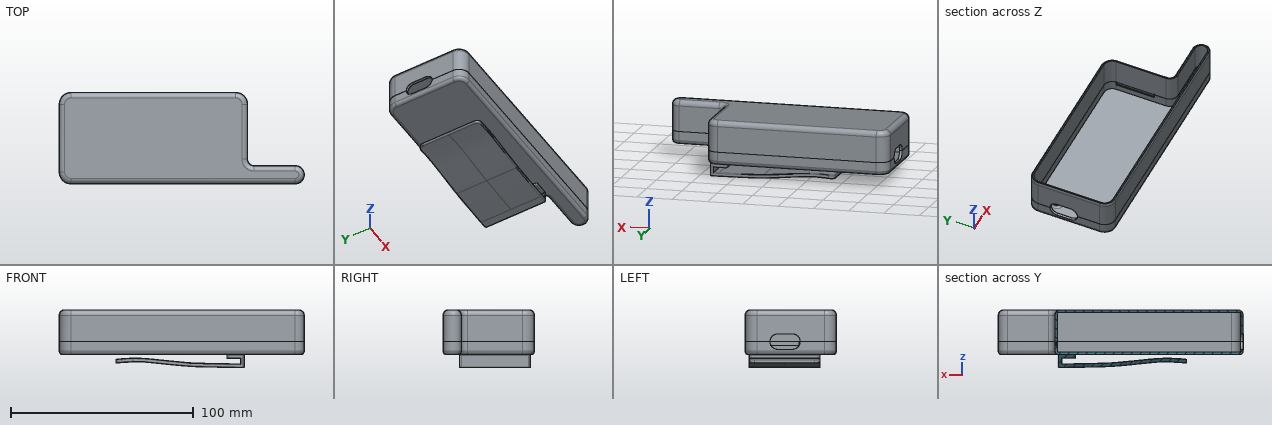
import cadquery as cq

CASE_LENGTH = 134.0
CASE_WIDTH = 50.0
BODY_LENGTH = 103.0
TAIL_WIDTH = 10.0
WALL = 1.5
INNER_RADIUS = 5.0
CORNER_RADIUS = INNER_RADIUS + WALL
NOTCH_RADIUS = INNER_RADIUS - WALL
TAIL_END_RADIUS = TAIL_WIDTH / 2

TOTAL_HEIGHT = 31.51
CLIP_DROP = 7.0
CASE_HEIGHT = TOTAL_HEIGHT - CLIP_DROP
BASE_HEIGHT = 7.15
FLOOR_THICKNESS = WALL
ROOF_THICKNESS = WALL
LID_EDGE_RADIUS = 3.0
BASE_EDGE_RADIUS = 2.0

PORT_WIDTH = 16.5
PORT_HEIGHT = 8.4
PORT_Y = 28.1

SEAT_DIAMETER = 5.0
SEAT_HEIGHT = 1.4
SEAT_FOOT_RADIUS = 1.2
SEAT_X = 9.0
SEAT_Y = 36.5

RECESS_BOTTOM = 5.0
RECESS_DEPTH = WALL / 2
RECESS_START_Y = 20.6
RECESS_END_Y = CASE_WIDTH - CORNER_RADIUS

CLIP_WIDTH = 38.8
CLIP_CENTER_Y = 28.4
CLIP_THICKNESS = 2.0
CLIP_BACK_X = 101.2
CLIP_FOOT_LENGTH = 9.5
CLIP_FLAT_LENGTH = 5.0
CLIP_CORNER_RADIUS = 1.0
CLIP_TIP_RADIUS = 3.0
CLIP_EDGE_RADIUS = 0.3
CLIP_END_SLOPE = 0.03
CLIP_JOINT_SLOPE = 0.075
CLIP_TIP_SLOPE = 0.13
CLIP_JOINT = (70.8, -4.36)
CLIP_MIDSPAN = (60.7, -3.46)
CLIP_CREST = (42.2, -1.87)
CLIP_TIP = (31.0, -2.55)


def case_prism(inset, bottom, top):
    """Case outline moved inwards by inset, extruded from bottom to top."""
    far = CASE_WIDTH - inset
    middle = (bottom + top) / 2
    tail_back = TAIL_WIDTH - inset
    body_end = BODY_LENGTH - inset
    tail_end_center = CASE_LENGTH - TAIL_END_RADIUS
    outline = (
        cq.Workplane("XY", origin=(0, 0, bottom))
        .moveTo(inset, inset)
        .lineTo(tail_end_center, inset)
        .threePointArc((CASE_LENGTH - inset, TAIL_WIDTH / 2), (tail_end_center, tail_back))
        .lineTo(body_end, tail_back)
        .lineTo(body_end, far)
        .lineTo(inset, far)
        .close()
    )
    prism = outline.extrude(top - bottom)
    convex_corners = [(inset, inset), (inset, far), (body_end, far)]
    for x, y in convex_corners:
        corner = cq.selectors.NearestToPointSelector((x, y, middle))
        prism = prism.edges(corner).fillet(CORNER_RADIUS - inset)
    notch = cq.selectors.NearestToPointSelector((body_end, tail_back, middle))
    return prism.edges(notch).fillet(NOTCH_RADIUS + inset)


def port_cutter():
    """Rounded slot through the -X wall."""
    return (
        cq.Workplane("YZ", origin=(-WALL, PORT_Y, BASE_HEIGHT))
        .slot2D(PORT_WIDTH, PORT_HEIGHT)
        .extrude(3 * WALL)
    )


def add_seat(tray):
    """Put the round seat on the floor of the tray and blend its foot into the floor."""
    seat = (
        cq.Workplane("XY", origin=(SEAT_X, SEAT_Y, FLOOR_THICKNESS))
        .circle(SEAT_DIAMETER / 2)
        .extrude(SEAT_HEIGHT)
    )
    foot = cq.selectors.NearestToPointSelector((SEAT_X, SEAT_Y, FLOOR_THICKNESS))
    return tray.union(seat).edges(foot).fillet(SEAT_FOOT_RADIUS)


def recess_cutter():
    """Pocket in the inside of the +X wall of the base."""
    inner_face_x = BODY_LENGTH - WALL
    return (
        cq.Workplane("XY", origin=(inner_face_x, RECESS_START_Y, RECESS_BOTTOM))
        .rect(RECESS_DEPTH, RECESS_END_Y - RECESS_START_Y, centered=False)
        .extrude(BASE_HEIGHT - RECESS_BOTTOM)
    )


def make_base():
    """Lower tray of the case."""
    tray = case_prism(0, 0, BASE_HEIGHT).faces("<Z").edges().fillet(BASE_EDGE_RADIUS)
    tray = tray.cut(case_prism(WALL, FLOOR_THICKNESS, BASE_HEIGHT))
    return add_seat(tray).cut(recess_cutter()).cut(port_cutter())


def make_lid():
    """Upper shell of the case."""
    shell = case_prism(0, BASE_HEIGHT, CASE_HEIGHT).faces(">Z").edges().fillet(LID_EDGE_RADIUS)
    shell = shell.cut(case_prism(WALL, BASE_HEIGHT, CASE_HEIGHT - ROOF_THICKNESS))
    return shell.cut(port_cutter())


def lowered(point):
    """Point on the lower face of the clip strip below a point on its upper face."""
    x, z = point
    return (x, z - CLIP_THICKNESS)


def make_clip():
    """Springy belt clip bent from one strip: foot, upright, flat and curved arm."""
    foot_x = CLIP_BACK_X - CLIP_FOOT_LENGTH
    inner_x = CLIP_BACK_X - CLIP_THICKNESS
    flat_end = (CLIP_BACK_X - CLIP_FLAT_LENGTH, -CLIP_DROP + CLIP_THICKNESS)
    profile = (
        cq.Workplane("XZ", origin=(0, CLIP_CENTER_Y, 0))
        .moveTo(foot_x, 0)
        .lineTo(foot_x, -CLIP_THICKNESS)
        .lineTo(inner_x, -CLIP_THICKNESS)
        .lineTo(inner_x, flat_end[1])
        .lineTo(*flat_end)
        .spline(
            [CLIP_JOINT],
            tangents=[(-1, CLIP_END_SLOPE), (-1, CLIP_JOINT_SLOPE)],
            includeCurrent=True,
        )
        .spline(
            [CLIP_MIDSPAN, CLIP_CREST, CLIP_TIP],
            tangents=[(-1, CLIP_JOINT_SLOPE), (-1, -CLIP_TIP_SLOPE)],
            includeCurrent=True,
        )
        .lineTo(*lowered(CLIP_TIP))
        .spline(
            [lowered(CLIP_CREST), lowered(CLIP_MIDSPAN), lowered(CLIP_JOINT)],
            tangents=[(1, CLIP_TIP_SLOPE), (1, -CLIP_JOINT_SLOPE)],
            includeCurrent=True,
        )
        .spline(
            [lowered(flat_end)],
            tangents=[(1, -CLIP_JOINT_SLOPE), (1, -CLIP_END_SLOPE)],
            includeCurrent=True,
        )
        .lineTo(CLIP_BACK_X, -CLIP_DROP)
        .lineTo(CLIP_BACK_X, 0)
        .close()
    )
    strip = profile.extrude(CLIP_WIDTH / 2, both=True)
    strip = strip.edges("|Z").edges("<X").fillet(CLIP_TIP_RADIUS)
    strip = strip.edges("|Z").edges(">X").fillet(CLIP_CORNER_RADIUS)
    foot_corners = cq.selectors.BoxSelector(
        (foot_x - CLIP_THICKNESS, 0, -CLIP_THICKNESS), (foot_x + CLIP_THICKNESS, CASE_WIDTH, 0)
    )
    strip = strip.edges("|Z").edges(foot_corners).fillet(CLIP_CORNER_RADIUS)
    return strip.faces("<Y or >Y").edges("not |Z").fillet(CLIP_EDGE_RADIUS)


base = make_base()
lid = make_lid()
clip = make_clip()

result = cq.Compound.makeCompound([base.val(), lid.val(), clip.val()])